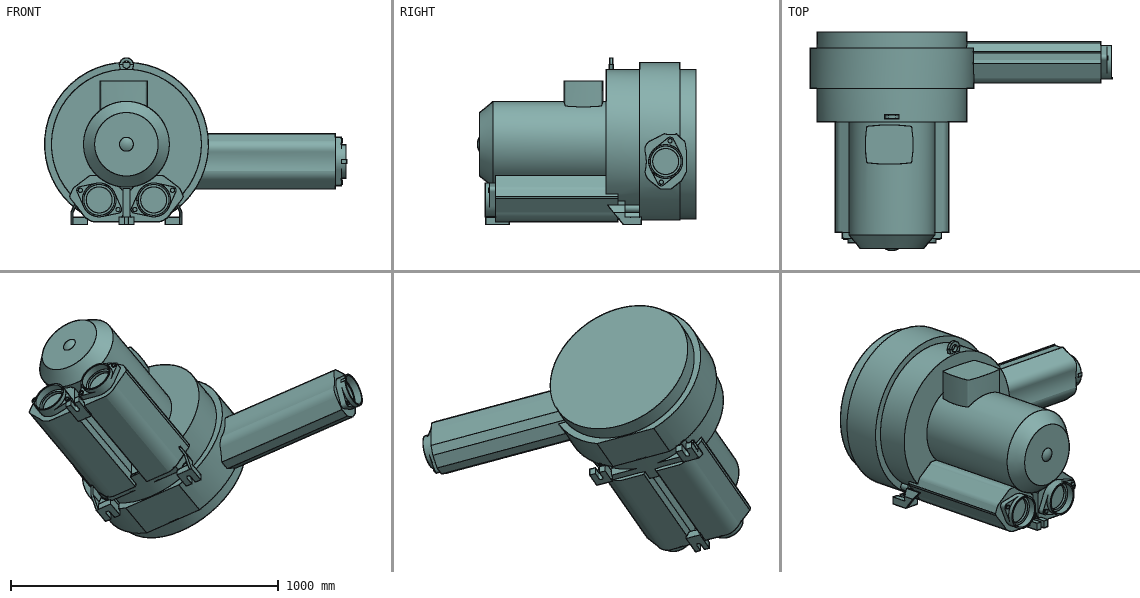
import cadquery as cq
import math


overlap = 5.0

housing_radius = 280.0
housing_depth = 337.0
rim_radius = 306.0
rim_front = 125.0
rim_back = 276.0
rim_bottom = -284.0

motor_radius = 160.0
motor_length = 423.0
cone_length = 51.0
cone_end_radius = 119.0
dome_radius = 26.0
dome_height = 8.0

box_center_x = -10.0
box_center_y = -85.0
box_width = 167.0
box_depth = 136
box_bulge = 6.0
box_corner_radius = 6.0
box_top = 237

front_tube_back = 44.0
front_tube_end = -413.0
tube_gap = 27.0
bridge_top = -166.0
bridge_front = -2.0
side_tube_end = 781.0

port_radius = 63.0
port_bore_radius = 49.0
port_mouth_radius = 58.0
port_mouth_depth = 28.0
port_length = 40.0
key_width = 14.0
key_height = 3.0
ear_distance = 79
ear_radius = 14.0
ear_thickness = 23
bolt_radius = 8.0
bolt_height = 5.0
front_port_x = 102
front_port_z = -208.0
front_port_angle = 27
side_port_y = 223.0
side_port_z = -64.0
side_port_angle = 78

foot_bottom = -301.0
foot_thickness = 28.0
foot_top = foot_bottom + foot_thickness
slot_width = 16.0
slot_depth = 34
front_foot_width = 57
front_foot_back = -362
front_foot_end = -450.0
rear_foot_outer = 208.0
rear_foot_inner = 145.0
rear_foot_front = 64.0
rear_foot_back = 132.0
foot_wall_thickness = 9.0
mount_plate_thickness = 27.0
mount_top = -213.0
spacer_radius = 15.0
spacer_x = 158
spacer_z = -241.0

eye_y = 19.0
eye_z = 297.0
eye_outer_radius = 26.0
eye_inner_radius = 14.0
eye_ring_thickness = 11
eye_base_thickness = 16.0
eye_base_width = 54.0
eye_base_foot_width = 43.0


def prism_y(outline, y_start, y_end):
    """Extrude an (x, z) outline between two Y positions."""
    plane = cq.Workplane("XZ", origin=(0, y_start, 0))
    return plane.polyline(outline).close().extrude(y_start - y_end)


def cylinder_y(radius, x, z, y_start, y_end):
    """Cylinder along Y between two Y positions."""
    plane = cq.Workplane("XZ", origin=(x, y_start, z))
    return plane.circle(radius).extrude(y_start - y_end)


def block(x_min, x_max, y_min, y_max, z_min, z_max):
    """Axis-aligned block given by its limits."""
    solid = cq.Workplane("XY").box(x_max - x_min, y_max - y_min, z_max - z_min, centered=False)
    return solid.translate((x_min, y_min, z_min))


def mirrored(solid):
    """The solid together with its copy across the X = 0 plane."""
    return solid.union(solid.mirror("YZ"))


def make_housing():
    drum = cylinder_y(housing_radius, 0, 0, 0, housing_depth)
    rim = cylinder_y(rim_radius, 0, 0, rim_front, rim_back)
    flat = block(-rim_radius, rim_radius, rim_front, rim_back, -2 * rim_radius, rim_bottom)
    return drum.union(rim.cut(flat))


def make_motor():
    cone_end = -motor_length - cone_length
    dome_mid = dome_radius * math.sqrt(0.5)
    sphere_radius = (dome_radius**2 + dome_height**2) / (2 * dome_height)
    dome_mid_y = cone_end - dome_height + sphere_radius - math.sqrt(sphere_radius**2 - dome_mid**2)
    profile = (
        cq.Workplane("XY")
        .moveTo(0, overlap)
        .lineTo(motor_radius, overlap)
        .lineTo(motor_radius, -motor_length)
        .lineTo(cone_end_radius, cone_end)
        .lineTo(dome_radius, cone_end)
        .threePointArc((dome_mid, dome_mid_y), (0, cone_end - dome_height))
        .close()
    )
    return profile.revolve(360, (0, 0, 0), (0, 1, 0))


def make_terminal_box():
    """Box with four slightly bulged walls, standing on the motor."""
    half_width = box_width / 2
    half_depth = box_depth / 2
    outline = (
        cq.Workplane("XY", origin=(box_center_x, box_center_y, 0))
        .moveTo(-half_width, -half_depth)
        .threePointArc((0, -half_depth - box_bulge), (half_width, -half_depth))
        .threePointArc((half_width + box_bulge, 0), (half_width, half_depth))
        .threePointArc((0, half_depth + box_bulge), (-half_width, half_depth))
        .threePointArc((-half_width - box_bulge, 0), (-half_width, -half_depth))
        .close()
    )
    return outline.extrude(box_top).edges("|Z").fillet(box_corner_radius)


def make_port():
    """Pipe socket with a two-eared flange, on Z = 0 facing +Z, ears along X."""
    tilt = math.acos((port_radius - ear_radius) / ear_distance)
    mid_x = port_radius * math.cos(tilt)
    mid_y = port_radius * math.sin(tilt)
    ear_x = ear_distance + ear_radius * math.cos(tilt)
    ear_y = ear_radius * math.sin(tilt)
    tip_x = ear_distance + ear_radius
    flange = (
        cq.Workplane("XY")
        .moveTo(mid_x, mid_y)
        .threePointArc((0, port_radius), (-mid_x, mid_y))
        .lineTo(-ear_x, ear_y)
        .threePointArc((-tip_x, 0), (-ear_x, -ear_y))
        .lineTo(-mid_x, -mid_y)
        .threePointArc((0, -port_radius), (mid_x, -mid_y))
        .lineTo(ear_x, -ear_y)
        .threePointArc((tip_x, 0), (ear_x, ear_y))
        .close()
        .extrude(ear_thickness)
    )
    bolts = (
        cq.Workplane("XY")
        .pushPoints([(-ear_distance, 0), (ear_distance, 0)])
        .circle(bolt_radius)
        .extrude(ear_thickness + bolt_height)
    )
    socket = cq.Workplane("XY").circle(port_radius).extrude(port_length)
    bore = cq.Workplane("XY").circle(port_bore_radius).extrude(port_length)
    mouth = cq.Workplane("XY", origin=(0, 0, port_length - port_mouth_depth))
    mouth = mouth.circle(port_mouth_radius).extrude(port_mouth_depth)
    return flange.union(bolts).union(socket).cut(bore).cut(mouth)


def make_front_silencer():
    """Two parallel tubes under the motor, joined by a bridge at the housing."""
    inner = tube_gap / 2
    outline = (
        cq.Workplane("XZ", origin=(0, front_tube_back, 0))
        .moveTo(inner, -173.0)
        .lineTo(25.0, -162.0)
        .lineTo(68, -116.0)
        .lineTo(129.0, -116.0)
        .threePointArc((139.0, -119.0), (147, -124))
        .lineTo(190.0, -157.0)
        .threePointArc((198.0, -164.0), (202.0, -171.0))
        .lineTo(213.0, -194.0)
        .lineTo(209.0, -203)
        .lineTo(166.0, -257.0)
        .threePointArc((148.0, -278.0), (121.0, -290.0))
        .lineTo(25.0, -290.0)
        .lineTo(18.0, -275.0)
        .lineTo(inner, -266.0)
        .close()
    )
    tube = outline.extrude(front_tube_back - front_tube_end)
    port = make_port().rotate((0, 0, 0), (0, 0, 1), front_port_angle)
    port = port.rotate((0, 0, 0), (1, 0, 0), 90)
    port = port.translate((front_port_x, front_tube_end, front_port_z))
    bridge = block(-inner, inner, bridge_front, front_tube_back, foot_top, bridge_top)
    return mirrored(tube.union(port)).union(bridge)


def make_side_silencer():
    """Tube along +X leaving the right side of the housing."""
    outline = (
        cq.Workplane("YZ")
        .moveTo(218.0, 40.0)
        .lineTo(163.0, 11)
        .threePointArc((148.0, -6.0), (146.0, -28.0))
        .threePointArc((150.0, -65.0), (146.0, -102))
        .threePointArc((150.0, -120.0), (163.0, -136))
        .lineTo(203, -167.0)
        .lineTo(243.0, -167.0)
        .lineTo(283, -136)
        .lineTo(301.0, -102)
        .lineTo(301.0, -28.0)
        .lineTo(295.0, 9.0)
        .lineTo(262.0, 40.0)
        .lineTo(258.0, 36.0)
        .lineTo(231.0, 36.0)
        .close()
    )
    tube = outline.extrude(side_tube_end)
    port = make_port().rotate((0, 0, 0), (0, 0, 1), side_port_angle)
    port = port.rotate((0, 0, 0), (1, 1, 1), 120)
    port = port.translate((side_tube_end, side_port_y, side_port_z))

    rim_y = side_port_y - port_radius
    rim_width = port_radius - port_mouth_radius
    key_z = side_port_z - key_width / 2
    key = block(
        side_tube_end + ear_thickness,
        side_tube_end + port_length + key_height,
        rim_y,
        rim_y + rim_width,
        key_z,
        key_z + key_width,
    )
    return tube.union(port).union(key)


def make_front_foot():
    half_width = front_foot_width / 2
    foot = block(-half_width, half_width, front_foot_end, front_foot_back, foot_bottom, foot_top)
    slot = make_slot(0, front_foot_end, slot_depth)
    return foot.cut(slot)


def make_slot(x, y_open, depth):
    """Round-ended cutter through a foot; it runs along Y from the open edge."""
    half_width = slot_width / 2
    y_center = y_open + depth
    slot = block(
        x - half_width, x + half_width, min(y_open, y_center), max(y_open, y_center), foot_bottom, foot_top
    )
    end = cq.Workplane("XY", origin=(x, y_center, foot_bottom)).circle(half_width).extrude(foot_thickness)
    return slot.union(end)


def make_rear_foot():
    """Right-hand rear foot: slotted base, bent outer wall, plate, spacer and rib."""
    base = block(rear_foot_inner, rear_foot_outer, rear_foot_front, rear_foot_back, foot_bottom, foot_top)
    slot_x = (rear_foot_inner + rear_foot_outer) / 2
    base = base.cut(make_slot(slot_x, rear_foot_back, -slot_depth))

    bend_z = -254.0
    lean_x = 187.0
    lean_z = -226
    wall_outline = [
        (rear_foot_outer, foot_bottom),
        (rear_foot_outer, bend_z),
        (lean_x + foot_wall_thickness, lean_z),
        (lean_x, lean_z),
        (rear_foot_outer - foot_wall_thickness, bend_z),
        (rear_foot_outer - foot_wall_thickness, foot_bottom),
    ]
    wall_tip_y = 5.0
    wall_back = front_tube_back + mount_plate_thickness
    wall = prism_y(wall_outline, wall_tip_y, wall_back)
    wall_side = [
        (rear_foot_front, foot_bottom),
        (wall_tip_y, lean_z),
        (wall_back, lean_z),
        (wall_back, foot_bottom),
    ]
    wall = wall.intersect(cq.Workplane("YZ").polyline(wall_side).close().extrude(rear_foot_outer))

    plate_outline = [
        (0, mount_top),
        (189.0, mount_top),
        (189.0, -232.0),
        (151.0, foot_top - overlap),
        (0, foot_top - overlap),
    ]
    plate = prism_y(plate_outline, front_tube_back, wall_back)
    spacer = cylinder_y(spacer_radius, spacer_x, spacer_z, wall_back, rim_front)

    rib_outline = [
        (164.0, -279.0),
        (rear_foot_inner, -255.0),
        (rear_foot_inner, -279.0),
    ]
    rib = prism_y(rib_outline, wall_back, rim_front)
    return base.union(wall).union(plate).union(spacer).union(rib)


def make_lifting_eye():
    """Ring standing on the housing, its lower half thickened into a base."""
    ring_front = eye_y - eye_ring_thickness / 2
    ring = cylinder_y(eye_outer_radius, 0, eye_z, ring_front, ring_front + eye_ring_thickness)
    base_front = eye_y - eye_base_thickness / 2
    base_back = base_front + eye_base_thickness
    half_width = eye_base_width / 2
    half_foot = eye_base_foot_width / 2
    base = prism_y(
        [
            (-half_width, eye_z),
            (half_width, eye_z),
            (half_foot, housing_radius - overlap),
            (-half_foot, housing_radius - overlap),
        ],
        base_front,
        base_back,
    )
    hole = cylinder_y(eye_inner_radius, 0, eye_z, base_front, base_back)
    return ring.union(base).cut(hole)


result = make_housing()
for feature in (
    make_motor(),
    make_terminal_box(),
    make_front_silencer(),
    make_side_silencer(),
    make_front_foot(),
    mirrored(make_rear_foot()),
    make_lifting_eye(),
):
    result = result.union(feature)